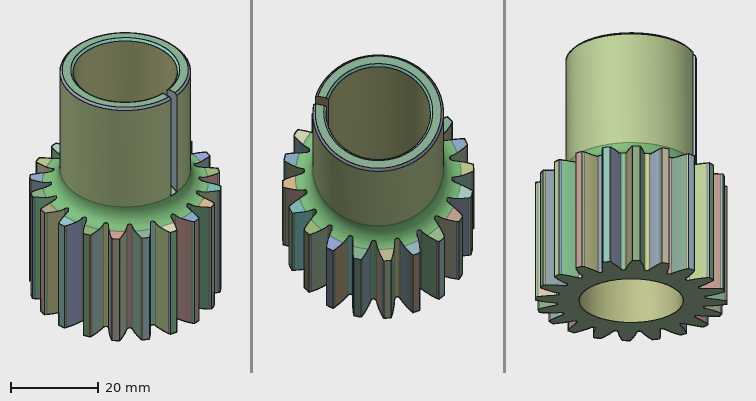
import cadquery as cq
import math

total_height = 61.0
gear_height = 29.0
sleeve_radius = 15.0
bore_radius = 11.95
shoulder_fillet = 4.0
rim_chamfer = 0.55

tooth_count = 20
outer_diameter = 44.0
tip_radius = outer_diameter / 2
tip_half_width = 0.85
bevel_radius = 21.5
bevel_half_width = 1.1
pitch_radius = 20.0
pitch_half_width = 1.6
flank_foot_radius = 17.45
flank_foot_half_width = 2.15
root_radius = 16.95
tooth_pitch_angle = 2 * math.pi / tooth_count

trim_allowance = 0.6

slot_width = 2.0
slot_bottom = gear_height + shoulder_fillet
slot_floor_slope = math.radians(30)


def gear_point(radius, half_width, tooth_angle):
    """Point at a radius, offset sideways by half_width from the line at tooth_angle."""
    angle = tooth_angle + math.asin(half_width / radius)
    return (radius * math.cos(angle), radius * math.sin(angle))


def gear_outline():
    """Closed outline of the external teeth, one tooth and one gap at a time."""
    outline = cq.Workplane("XY").moveTo(*gear_point(tip_radius, -tip_half_width, 0))
    for tooth in range(tooth_count):
        angle = tooth * tooth_pitch_angle
        next_angle = angle + tooth_pitch_angle
        gap_angle = angle + tooth_pitch_angle / 2
        outline = (
            outline
            .threePointArc(
                gear_point(tip_radius, 0, angle),
                gear_point(tip_radius, tip_half_width, angle),
            )
            .lineTo(*gear_point(bevel_radius, bevel_half_width, angle))
            .threePointArc(
                gear_point(pitch_radius, pitch_half_width, angle),
                gear_point(flank_foot_radius, flank_foot_half_width, angle),
            )
            .threePointArc(
                gear_point(root_radius, 0, gap_angle),
                gear_point(flank_foot_radius, -flank_foot_half_width, next_angle),
            )
            .threePointArc(
                gear_point(pitch_radius, -pitch_half_width, next_angle),
                gear_point(bevel_radius, -bevel_half_width, next_angle),
            )
            .lineTo(*gear_point(tip_radius, -tip_half_width, next_angle))
        )
    return outline.close()


def turned_blank():
    """Gear blank and sleeve as one turned body with the bore, shoulder fillet and rim chamfers."""
    blank_radius = tip_radius + trim_allowance
    fillet_centre_radius = sleeve_radius + shoulder_fillet
    fillet_centre_height = gear_height + shoulder_fillet
    fillet_reach = shoulder_fillet * math.sqrt(0.5)
    fillet_middle = (fillet_centre_radius - fillet_reach, fillet_centre_height - fillet_reach)
    return (
        cq.Workplane("XZ")
        .moveTo(bore_radius, 0)
        .lineTo(blank_radius, 0)
        .lineTo(blank_radius, gear_height)
        .lineTo(fillet_centre_radius, gear_height)
        .threePointArc(fillet_middle, (sleeve_radius, fillet_centre_height))
        .lineTo(sleeve_radius, total_height - rim_chamfer)
        .lineTo(sleeve_radius - rim_chamfer, total_height)
        .lineTo(bore_radius + rim_chamfer, total_height)
        .lineTo(bore_radius, total_height - rim_chamfer)
        .close()
        .revolve(360, (0, 0, 0), (0, 1, 0))
    )


def sleeve_slot():
    """Cutter for the slot: a slab along +X, resting on a cone about the Z axis."""
    slab = (
        cq.Workplane("XY")
        .workplane(offset=slot_bottom)
        .box(tip_radius, slot_width, total_height - slot_bottom, centered=(False, True, False))
    )
    cone_top = slot_bottom + sleeve_radius * math.tan(slot_floor_slope)
    floor_cone = (
        cq.Workplane("XZ")
        .moveTo(0, slot_bottom)
        .lineTo(sleeve_radius, slot_bottom)
        .lineTo(0, cone_top)
        .close()
        .revolve(360, (0, 0, 0), (0, 1, 0))
    )
    return slab.cut(floor_cone)


toothed_body = turned_blank().intersect(gear_outline().extrude(total_height))
result = toothed_body.cut(sleeve_slot())